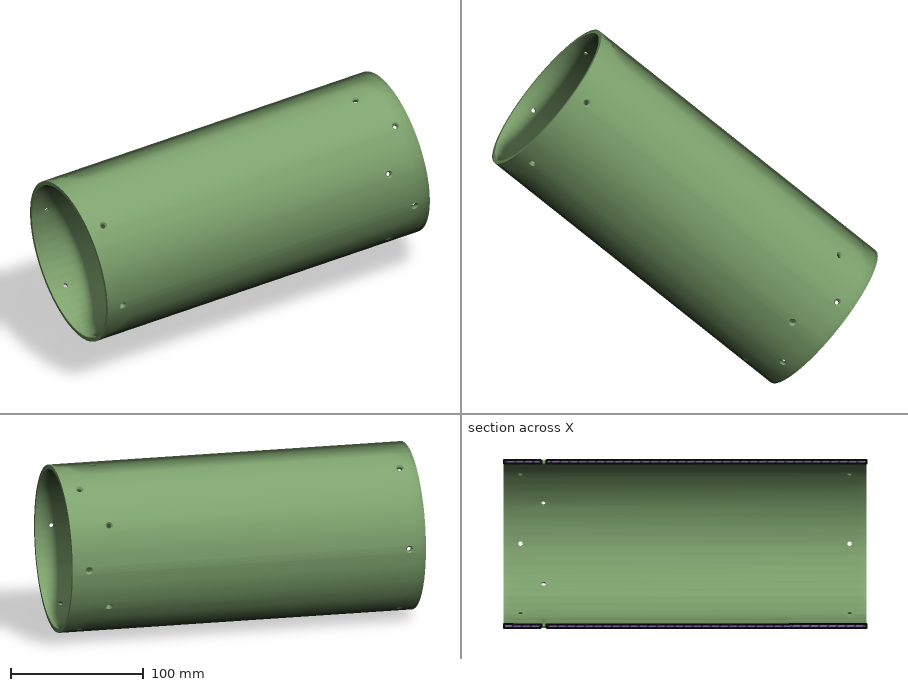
import cadquery as cq
import math

OUTER_DIAMETER = 127.0
WALL = 3.175
LENGTH = 273.05

HOLE_DIAMETER = 3.264
SINK_DIAMETER = 5.715
SINK_ANGLE = 82.0
HOLES_PER_RING = 6
END_RING_INSET = 12.7
INNER_RING_INSET = 30.16
CUT_CLEARANCE = 1.0

outer_radius = OUTER_DIAMETER / 2
inner_radius = outer_radius - WALL
half_length = LENGTH / 2
hole_pitch = 360.0 / HOLES_PER_RING
hole_radius = HOLE_DIAMETER / 2
sink_radius = SINK_DIAMETER / 2
sink_slope = math.tan(math.radians(SINK_ANGLE / 2))
sink_depth = (sink_radius - hole_radius) / sink_slope


def make_tube():
    """Plain open tube along Y."""
    return (
        cq.Workplane("XZ")
        .circle(outer_radius)
        .circle(inner_radius)
        .extrude(half_length, both=True)
    )


def make_hole_cutter():
    """Countersunk hole cutter along X, entering the wall from the +X side."""
    drill_end = inner_radius - CUT_CLEARANCE
    sink_floor = outer_radius - sink_depth
    cutter_top = outer_radius + CUT_CLEARANCE
    profile = (
        cq.Workplane("XY")
        .moveTo(drill_end, 0)
        .lineTo(drill_end, hole_radius)
        .lineTo(sink_floor, hole_radius)
        .lineTo(cutter_top, sink_radius + CUT_CLEARANCE * sink_slope)
        .lineTo(cutter_top, 0)
        .close()
    )
    return profile.revolve(360, (0, 0, 0), (1, 0, 0))


def drill_ring(body, y, start_angle):
    """Drill one ring of holes at position y; angles turn about Y from +X."""
    cutter = make_hole_cutter().translate((0, y, 0))
    for index in range(HOLES_PER_RING):
        angle = start_angle + index * hole_pitch
        body = body.cut(cutter.rotate((0, 0, 0), (0, 1, 0), angle))
    return body


result = make_tube()
result = drill_ring(result, -half_length + END_RING_INSET, 0)
result = drill_ring(result, half_length - END_RING_INSET, 0)
result = drill_ring(result, half_length - INNER_RING_INSET, hole_pitch / 2)